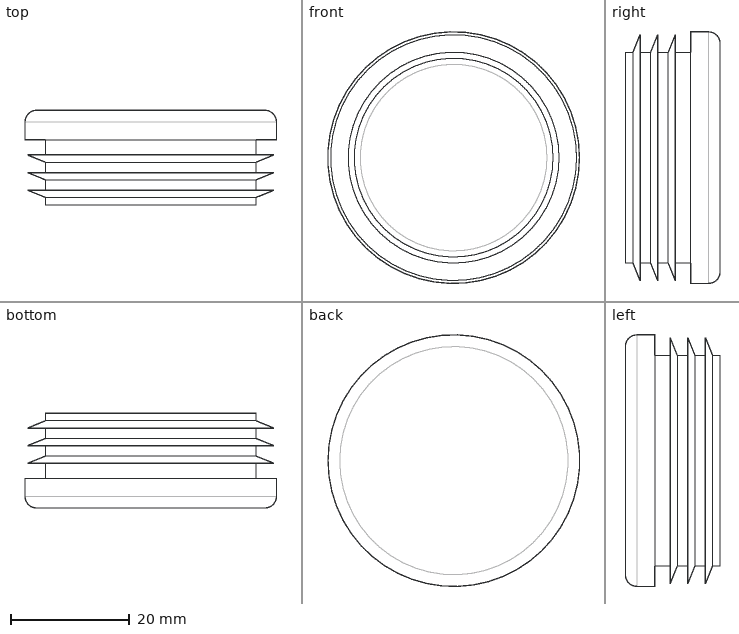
import cadquery as cq


cap_radius = 21.2
cap_thickness = 5.0
cap_edge_radius = 2.0

total_length = 16.0
stem_length = total_length - cap_thickness
stem_diameter = 35.5
stem_radius = stem_diameter / 2
stem_wall = 1.0
floor_fillet = 1.0
bore_radius = stem_radius - stem_wall
bore_depth = stem_length

fin_count = 3
fin_radius = 20.7
fin_root_thickness = 1.27
fin_tip_thickness = 0.1
first_fin_face = 2.55
fin_pitch = 2.95
root_overlap = 0.42


def cylinder_along_y(radius, start, length):
    """Solid cylinder on the Y axis, growing from start towards +Y."""
    plane = cq.Workplane("XZ", origin=(0, start, 0))
    return plane.circle(radius).extrude(-length)


def make_cap():
    cap = cylinder_along_y(cap_radius, stem_length, cap_thickness)
    return cap.faces(">Y").edges().fillet(cap_edge_radius)


def make_fin(flat_face):
    """Ring whose flat side lies at Y = flat_face, rooted slightly inside the stem wall."""
    inner_radius = stem_radius - root_overlap
    root_start = flat_face - fin_root_thickness
    return (
        cq.Workplane("XY")
        .moveTo(inner_radius, flat_face)
        .lineTo(fin_radius, flat_face)
        .lineTo(fin_radius, flat_face - fin_tip_thickness)
        .lineTo(stem_radius, root_start)
        .lineTo(inner_radius, root_start)
        .close()
        .revolve(360, (0, 0, 0), (0, 1, 0))
    )


def make_bore():
    bore = cylinder_along_y(bore_radius, 0, bore_depth)
    return bore.faces(">Y").edges().fillet(floor_fillet)


body = make_cap().union(cylinder_along_y(stem_radius, 0, stem_length))
for index in range(fin_count):
    body = body.union(make_fin(first_fin_face + index * fin_pitch))

result = body.cut(make_bore())